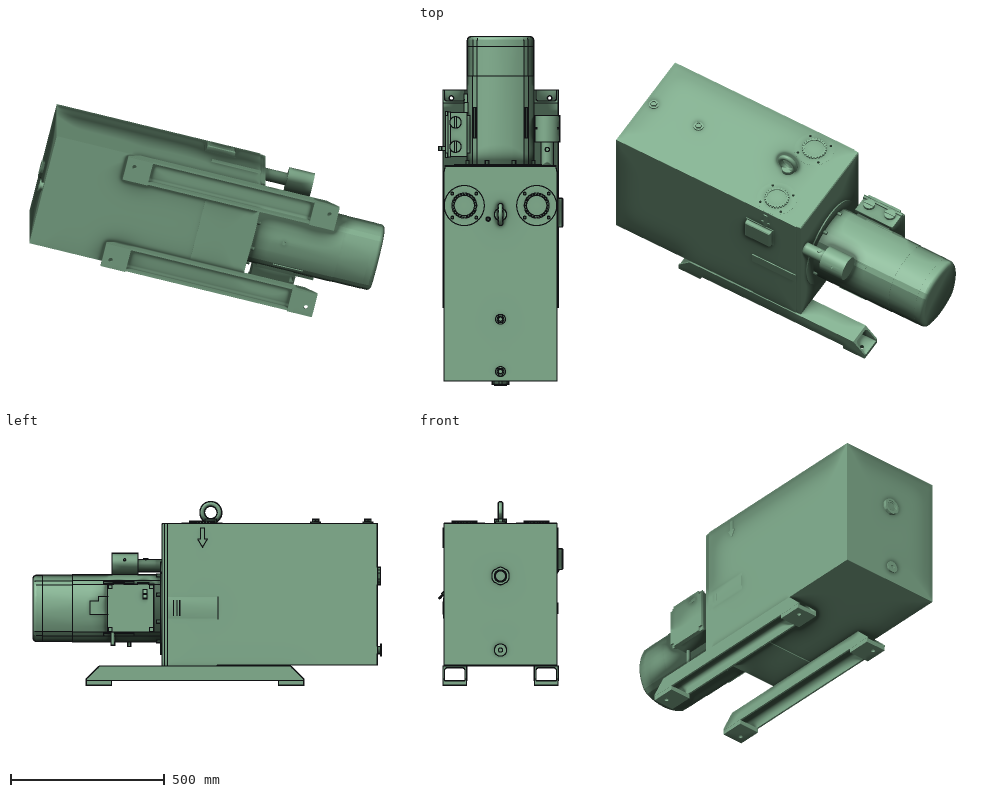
import cadquery as cq
import math


housing_width = 368.0
housing_length = 700.0
housing_bottom = 66.0
housing_top = 526.0
rail_top = 63.0
motor_end = 1119.0
motor_height = 250.0
overall_left = 201.0

housing_side = housing_width / 2
overlap = 2.0


def box(x_range, y_range, z_range):
    """Block between two limits along each axis."""
    size = [limits[1] - limits[0] for limits in (x_range, y_range, z_range)]
    corner = (x_range[0], y_range[0], z_range[0])
    return cq.Workplane("XY").box(*size, centered=False).translate(corner)


def cylinder_y(x, z, y_start, y_stop, diameter):
    """Round bar along Y."""
    plane = cq.Workplane("XZ", origin=(x, y_start, z))
    return plane.circle(diameter / 2).extrude(y_start - y_stop)


def cylinder_z(x, y, z_start, z_stop, diameter):
    """Round bar along Z."""
    plane = cq.Workplane("XY", origin=(x, y, z_start))
    return plane.circle(diameter / 2).extrude(z_stop - z_start)


def hexagon_z(x, y, z_start, z_stop, corner_diameter):
    """Hexagonal bar along Z."""
    plane = cq.Workplane("XY", origin=(x, y, z_start))
    return plane.polygon(6, corner_diameter).extrude(z_stop - z_start)


back_frame_depth = 18.0
back_frame_inset = 2.5
back_plate_depth = 9.0
back_plate_inset = 3.5
back_plate_chamfer = 3.0
rear_foot_depth = 180.0


def make_housing():
    """Block with a narrower frame and end plate at the back, and a low foot over the rails."""
    frame_start = housing_length - back_frame_depth
    plate_start = housing_length - back_plate_depth
    frame_side = housing_side - back_frame_inset
    plate_side = housing_side - back_plate_inset
    main = box((-housing_side, housing_side), (0, frame_start), (housing_bottom, housing_top))
    frame = box((-frame_side, frame_side), (frame_start, plate_start), (rail_top, housing_top))
    plate = box((-plate_side, plate_side), (plate_start, housing_length), (rail_top, housing_top))
    plate = plate.edges(">Y and >Z").chamfer(back_plate_chamfer)
    foot_front = housing_length - rear_foot_depth
    foot = box((-housing_side, housing_side), (foot_front, frame_start), (rail_top, housing_bottom))
    return main.union(frame).union(plate).union(foot)


port_spacing = 235.0
port_y = 570.0
port_flange_diameter = 130.0
port_flange_height = 0.5
port_cap_diameter = 81.0
port_cap_height = 7.0
port_recess_diameter = 66.0
port_recess_depth = 4.0
port_knurl_count = 24
port_knurl_width = 4.0
port_knurl_depth = 4.0
port_bolt_circle = 110.0
port_bolt_hole_diameter = 9.0
port_bolt_hole_depth = 15.0


def make_port(x):
    """Flange disc with a raised cap that is grooved round its rim."""
    cap_top = housing_top + port_cap_height
    flange_top = housing_top + port_flange_height
    port = cylinder_z(x, port_y, housing_top - overlap, flange_top, port_flange_diameter)
    port = port.union(cylinder_z(x, port_y, housing_top, cap_top, port_cap_diameter))
    port = port.cut(cylinder_z(x, port_y, cap_top - port_recess_depth, cap_top, port_recess_diameter))
    grooves = (
        cq.Workplane("XY", origin=(x, port_y, flange_top))
        .polarArray(port_cap_diameter / 2, 0, 360, port_knurl_count)
        .rect(2 * port_knurl_depth, port_knurl_width)
        .extrude(port_cap_height)
    )
    return port.cut(grooves)


def make_port_bolt_holes(x):
    return (
        cq.Workplane("XY", origin=(x, port_y, housing_top - port_bolt_hole_depth))
        .polarArray(port_bolt_circle / 2, 45, 360, 4)
        .circle(port_bolt_hole_diameter / 2)
        .extrude(2 * port_bolt_hole_depth)
    )


eye_y = 541.0
eye_outer_diameter = 72.0
eye_inner_diameter = 40.0
eye_collar_diameter = 40.0
eye_collar_height = 14.0
eye_height = 71.0


def make_lifting_eye():
    wire_radius = (eye_outer_diameter - eye_inner_diameter) / 4
    ring_radius = (eye_outer_diameter + eye_inner_diameter) / 4
    ring_centre = housing_top + eye_height - eye_outer_diameter / 2
    ring = cq.Workplane(
        cq.Solid.makeTorus(ring_radius, wire_radius, cq.Vector(0, eye_y, ring_centre), cq.Vector(1, 0, 0))
    )
    collar_top = housing_top + eye_collar_height
    collar = cylinder_z(0, eye_y, housing_top - overlap, collar_top, eye_collar_diameter)
    opening = (
        cq.Workplane("YZ", origin=(0, eye_y, ring_centre))
        .circle(eye_inner_diameter / 2)
        .extrude(eye_collar_diameter / 2, both=True)
    )
    return collar.cut(opening).union(ring)


top_plug_ys = (31.0, 201.0)
top_plug_flange_diameter = 32.0
top_plug_flange_height = 5.0
top_plug_hex_diameter = 24.0
top_plug_height = 13.5
top_plug_socket_diameter = 14.0
top_plug_socket_depth = 6.0


def make_top_plug(y):
    top = housing_top + top_plug_height
    flange_top = housing_top + top_plug_flange_height
    flange = cylinder_z(0, y, housing_top - overlap, flange_top, top_plug_flange_diameter)
    head = hexagon_z(0, y, housing_top, top, top_plug_hex_diameter)
    socket = cylinder_z(0, y, top - top_plug_socket_depth, top, top_plug_socket_diameter)
    return flange.union(head).cut(socket)


vent_x = -40.0
vent_y = 526.0
vent_diameter = 14.0
vent_pin_diameter = 8.0
vent_depth = 5.0


def make_vent_groove():
    """Ring groove round a small screw that sits flush in the top."""
    bottom = housing_top - vent_depth
    hole = cylinder_z(vent_x, vent_y, bottom, housing_top, vent_diameter)
    return hole.cut(cylinder_z(vent_x, vent_y, bottom, housing_top, vent_pin_diameter))


sight_glass_z = 355.0
sight_glass_flats = 54.0
sight_glass_round = 57.0
sight_glass_depth = 10.5
sight_glass_rim_diameter = 40.0
sight_glass_window_diameter = 33.0
sight_glass_window_depth = 5.0


def make_sight_glass():
    """Hexagonal ring with rounded corners and a recessed window."""
    corner_diameter = sight_glass_flats / math.cos(math.pi / 6)
    hexagon = (
        cq.Workplane("XZ", origin=(0, overlap, sight_glass_z))
        .transformed(rotate=(0, 0, 90))
        .polygon(6, corner_diameter)
        .extrude(sight_glass_depth + overlap)
    )
    hexagon = hexagon.intersect(
        cylinder_y(0, sight_glass_z, -sight_glass_depth, overlap, sight_glass_round)
    )
    window_y = -sight_glass_depth + sight_glass_window_depth
    rim_y = (window_y - sight_glass_depth) / 2
    rim = cylinder_y(0, sight_glass_z, -sight_glass_depth, rim_y, sight_glass_rim_diameter)
    window = cylinder_y(0, sight_glass_z, -sight_glass_depth, window_y, sight_glass_window_diameter)
    return hexagon.cut(rim).cut(window)


drain_z = 114.5
drain_disc_diameter = 40.0
drain_disc_thickness = 4.0
drain_neck_diameter = 24.0
drain_depth = 13.65
drain_socket_diameter = 14.0
drain_socket_depth = 4.0


def make_drain_plug():
    disc_back = drain_disc_thickness - drain_depth
    neck = cylinder_y(0, drain_z, disc_back, overlap, drain_neck_diameter)
    disc = cylinder_y(0, drain_z, -drain_depth, disc_back, drain_disc_diameter)
    socket_end = drain_socket_depth - drain_depth
    socket = cylinder_y(0, drain_z, -drain_depth, socket_end, drain_socket_diameter)
    return neck.union(disc).cut(socket)


side_plate_thickness = 3.0
arrow_y = 568.0
arrow_top = 511.0
arrow_shaft_width = 14.0
arrow_head_width = 31.0
arrow_shaft_length = 36.0
arrow_length = 63.0


def make_arrow(side):
    """Raised arrow that points down, on the side given by -1 or +1."""
    half_shaft = arrow_shaft_width / 2
    half_head = arrow_head_width / 2
    shaft_bottom = arrow_top - arrow_shaft_length
    inner_x = housing_side - overlap
    return (
        cq.Workplane("YZ", origin=(side * inner_x, arrow_y, 0))
        .moveTo(-half_shaft, arrow_top)
        .lineTo(half_shaft, arrow_top)
        .lineTo(half_shaft, shaft_bottom)
        .lineTo(half_head, shaft_bottom)
        .lineTo(0, arrow_top - arrow_length)
        .lineTo(-half_head, shaft_bottom)
        .lineTo(-half_shaft, shaft_bottom)
        .close()
        .extrude(side * (side_plate_thickness + overlap))
    )


label_height = 70.0
label_bottom = 216.0
label_start = 518.0
label_stop = housing_length - back_frame_depth
label_slot_y = 651.0
label_slot_width = 11.0
label_line_y = 641.0
label_line_width = 2.0
label_slot_depth = 1.5


def make_label():
    """Bulged name plate on the left side, crossed by two upright slots."""
    middle = label_bottom + label_height / 2
    top = label_bottom + label_height
    face_x = -housing_side - side_plate_thickness
    inner_x = -housing_side + overlap
    plate = (
        cq.Workplane("XZ", origin=(0, label_start, 0))
        .moveTo(inner_x, label_bottom)
        .lineTo(-housing_side, label_bottom)
        .threePointArc((face_x, middle), (-housing_side, top))
        .lineTo(inner_x, top)
        .close()
        .extrude(label_start - label_stop)
    )
    slots = ((label_slot_y, label_slot_width), (label_line_y, label_line_width))
    for y, width in slots:
        slot = box((face_x, face_x + label_slot_depth), (y, y + width), (label_bottom, top))
        plate = plate.cut(slot)
    return plate


display_start = 500.0
display_stop = 594.0
display_bottom = 376.0
display_top = 444.0
display_right = 202.6
display_rim = 3.0
display_base_margin = 5.0
display_base_thickness = 2.5


def make_display():
    """Operating panel on the right side, on a thin base plate."""
    inner_x = housing_side - overlap
    base = box(
        (inner_x, housing_side + display_base_thickness),
        (display_start - display_base_margin, display_stop + display_base_margin),
        (display_bottom - display_base_margin, display_top + display_base_margin),
    )
    panel = box((inner_x, display_right), (display_start, display_stop), (display_bottom, display_top))
    return base.union(panel.faces(">X").chamfer(display_rim))


right_plate_bottom = 233.0
right_plate_top = 268.0


def make_right_plate():
    """Small plain plate on the right side."""
    return box(
        (housing_side - overlap, housing_side + side_plate_thickness),
        (label_start, label_stop),
        (right_plate_bottom, right_plate_top),
    )


motor_reach = 109.5
motor_corner_long = 90.5
motor_corner_short = 77.0
fan_cover_start = 990.0
fan_cover_inset = 1.0
fan_cap_start = 1087.0
fan_cap_inset = 1.5
fan_cover_round = 13.0
motor_flange_diameter = 300.0
motor_flange_thickness = 4.0
motor_bolt_count = 8
motor_bolt_circle = 229.0
motor_bolt_diameter = 12.2
motor_bolt_length = 17.0
lift_pad_start = 790.0
lift_pad_stop = 889.0
lift_pad_width = 10.0
lift_pad_height = 3.0


def motor_section(y, inset):
    """Four bulged sides joined by flat corners."""
    reach = motor_reach - inset
    long = motor_corner_long - inset
    short = motor_corner_short - inset
    return (
        cq.Workplane("XZ", origin=(0, y, motor_height))
        .moveTo(-short, long)
        .threePointArc((0, reach), (short, long))
        .lineTo(long, short)
        .threePointArc((reach, 0), (long, -short))
        .lineTo(short, -long)
        .threePointArc((0, -reach), (-short, -long))
        .lineTo(-long, -short)
        .threePointArc((-reach, 0), (-long, short))
        .close()
    )


def make_motor():
    body = motor_section(housing_length - overlap, 0).extrude(housing_length - overlap - fan_cover_start)
    cover = motor_section(fan_cover_start, fan_cover_inset).extrude(fan_cover_start - fan_cap_start)
    cap = motor_section(fan_cap_start, fan_cap_inset).extrude(fan_cap_start - motor_end)
    motor = body.union(cover).union(cap.faces(">Y").edges().fillet(fan_cover_round))

    flange_end = housing_length + motor_flange_thickness
    motor = motor.union(
        cylinder_y(0, motor_height, housing_length - overlap, flange_end, motor_flange_diameter)
    )
    bolts = (
        cq.Workplane("XZ", origin=(0, housing_length, motor_height))
        .polarArray(motor_bolt_circle / 2, 180 / motor_bolt_count, 360, motor_bolt_count)
        .circle(motor_bolt_diameter / 2)
        .extrude(-motor_bolt_length)
    )
    motor = motor.union(bolts)

    corner_radius = (motor_corner_long + motor_corner_short) / math.sqrt(2)
    pad = box(
        (corner_radius - overlap, corner_radius + lift_pad_height),
        (lift_pad_start, lift_pad_stop),
        (-lift_pad_width / 2, lift_pad_width / 2),
    )
    for angle in (45, 135, 225, 315):
        turned = pad.rotate((0, 0, 0), (0, 1, 0), angle)
        motor = motor.union(turned.translate((0, 0, motor_height)))
    return motor


motor_drain_y = 806.0
motor_drain_diameter = 10.0
motor_drain_bottom = 126.0


def make_motor_drain():
    return cylinder_z(0, motor_drain_y, motor_drain_bottom, motor_height, motor_drain_diameter)


lid_left = -179.0
lid_right = -162.0
lid_start = 726.0
lid_stop = 876.0
lid_bottom = 173.0
lid_top = 328.5
lid_seam = -170.0
lid_seam_inset = 2.0
lid_notch = 14.0
lid_notch_depth = 7.0
box_margin = 7.0
box_end_margin = 4.0
box_neck_margin = 12.0
box_right = -108.0
box_neck_start = 741.0
box_neck_stop = 862.0
box_neck_right = -90.0
plug_x = -146.0
plug_ys = (761.0, 840.0)
plug_diameter = 37.0
plug_height = 10.0
plug_grip_width = 7.0
plug_grip_rise = 3.0
gland_x = -118.0
gland_y = 859.0
gland_diameter = 13.0
gland_bottom = 130.0
strap_start = 748.0
strap_width = 14.0
strap_thickness = 5.0
strap_length = 40.0
strap_tips = ((-overall_left, 280.0), (-192.0, 294.0))
tab_right = -100.0
tab_left = -118.5
tab_bottom = 230.0
tab_step = 274.0
tab_top = 288.0
tab_step_y = 905.0
tab_stop = 933.0


def make_terminal_box():
    """Box on the left of the motor: notched lid, body, and a narrower neck into the motor."""
    terminal = box((lid_left, lid_seam), (lid_start, lid_stop), (lid_bottom, lid_top))
    flange = box(
        (lid_seam, lid_right),
        (lid_start + lid_seam_inset, lid_stop - lid_seam_inset),
        (lid_bottom + lid_seam_inset, lid_top - lid_seam_inset),
    )
    terminal = terminal.union(flange)
    for y in (lid_start, lid_stop):
        for z in (lid_bottom, lid_top):
            notch = box(
                (lid_left, lid_left + lid_notch_depth),
                (y - lid_notch, y + lid_notch),
                (z - lid_notch, z + lid_notch),
            )
            terminal = terminal.cut(notch)
    body_bottom = lid_bottom + box_margin
    body_top = lid_top - box_margin
    body = box(
        (lid_right, box_right),
        (lid_start + box_end_margin, lid_stop - box_end_margin),
        (body_bottom, body_top),
    )
    neck = box(
        (box_right, box_neck_right),
        (box_neck_start, box_neck_stop),
        (body_bottom + box_neck_margin, body_top - box_neck_margin),
    )
    terminal = terminal.union(body).union(neck)

    plug_top = body_top + plug_height
    for y in plug_ys:
        plug = cylinder_z(plug_x, y, body_top - overlap, plug_top, plug_diameter)
        grip = box(
            (plug_x - plug_grip_width / 2, plug_x + plug_grip_width / 2),
            (y - plug_diameter / 2, y + plug_diameter / 2),
            (body_top, plug_top + plug_grip_rise),
        )
        terminal = terminal.union(plug).union(grip)
    gland = cylinder_z(gland_x, gland_y, gland_bottom, body_bottom + overlap, gland_diameter)
    return terminal.union(gland)


def make_strap(tip_left, tip_z):
    """Flat strap that slopes down and outwards from the lid at 45 degrees."""
    strap = box((0, strap_length), (0, strap_width), (0, strap_thickness))
    strap = strap.rotate((0, 0, 0), (0, 1, 0), -45)
    tip_x = tip_left + strap_thickness / math.sqrt(2)
    return strap.translate((tip_x, strap_start, tip_z))


def make_side_tab():
    """Stepped plate on the left of the motor, behind the terminal box."""
    return (
        cq.Workplane("YZ", origin=(tab_left, 0, 0))
        .moveTo(lid_stop - box_end_margin - overlap, tab_bottom)
        .lineTo(tab_stop, tab_bottom)
        .lineTo(tab_stop, tab_step)
        .lineTo(tab_step_y, tab_step)
        .lineTo(tab_step_y, tab_top)
        .lineTo(lid_stop - box_end_margin - overlap, tab_top)
        .close()
        .extrude(tab_right - tab_left)
    )


filter_x = 152.0
filter_z = 388.5
filter_diameter = 81.0
filter_start = 777.0
filter_stop = 862.0
filter_hole_y = 821.0
filter_hole_rise = 19.0
filter_hole_diameter = 6.0
pipe_diameter = 40.9
pipe_screw_y = 752.0
pipe_screw_diameter = 14.0
pipe_screw_rise = 3.0


def make_intake_filter():
    pipe = cylinder_y(filter_x, filter_z, housing_length - overlap, filter_start + overlap, pipe_diameter)
    canister = cylinder_y(filter_x, filter_z, filter_start, filter_stop, filter_diameter)
    cross_hole = (
        cq.Workplane("YZ", origin=(filter_x, filter_hole_y, filter_z + filter_hole_rise))
        .circle(filter_hole_diameter / 2)
        .extrude(filter_diameter, both=True)
    )
    canister = canister.cut(cross_hole)
    screw_top = filter_z + pipe_diameter / 2 + pipe_screw_rise
    screw = cylinder_z(filter_x, pipe_screw_y, filter_z, screw_top, pipe_screw_diameter)
    return pipe.union(canister).union(screw)


rail_outer_side = 187.5
rail_width = 78.0
rail_front = 239.0
rail_back = 946.0
rail_wall = 6.0
rail_inner_radius = 9.0
rail_end_top = 21.0
rail_slope_run = 43.0
pad_length = 83.0
pad_inset = 0.5
pad_height = 15.0
pad_hole_x = 159.5
pad_hole_end_distance = 27.0
pad_hole_diameter = 14.0


def make_rail(side):
    """Channel open downwards with sloping ends on two drilled foot pads; side is -1 or +1."""
    rail_middle = side * (rail_outer_side - rail_width / 2)
    x_range = (rail_middle - rail_width / 2, rail_middle + rail_width / 2)
    slope_front = rail_front + rail_slope_run
    slope_back = rail_back - rail_slope_run
    channel = (
        cq.Workplane("YZ", origin=(x_range[0], 0, 0))
        .moveTo(rail_front, pad_height)
        .lineTo(rail_front, rail_end_top)
        .lineTo(slope_front, rail_top)
        .lineTo(slope_back, rail_top)
        .lineTo(rail_back, rail_end_top)
        .lineTo(rail_back, pad_height)
        .close()
        .extrude(rail_width)
    )
    hollow = box(
        (x_range[0] + rail_wall, x_range[1] - rail_wall),
        (rail_front, rail_back),
        (0, rail_top - rail_wall),
    )
    rail = channel.cut(hollow.edges("|Y and >Z").fillet(rail_inner_radius))
    pad_x_range = (x_range[0] + pad_inset, x_range[1] - pad_inset)
    for y_range in ((rail_front, rail_front + pad_length), (rail_back - pad_length, rail_back)):
        rail = rail.union(box(pad_x_range, y_range, (0, pad_height)))
    for y in (rail_front + pad_hole_end_distance, rail_back - pad_hole_end_distance):
        rail = rail.cut(cylinder_z(side * pad_hole_x, y, 0, pad_height, pad_hole_diameter))
    return rail


port_xs = (-port_spacing / 2, port_spacing / 2)
pump = make_housing()
attached = [make_port(x) for x in port_xs]
attached += [make_top_plug(y) for y in top_plug_ys]
attached += [make_arrow(side) for side in (-1, 1)]
attached += [make_strap(*tip) for tip in strap_tips]
attached += [
    make_lifting_eye(),
    make_sight_glass(),
    make_drain_plug(),
    make_label(),
    make_display(),
    make_right_plate(),
    make_motor(),
    make_motor_drain(),
    make_terminal_box(),
    make_side_tab(),
    make_intake_filter(),
]
for feature in attached:
    pump = pump.union(feature)
for x in port_xs:
    pump = pump.cut(make_port_bolt_holes(x))
pump = pump.cut(make_vent_groove())

rails = [make_rail(side) for side in (-1, 1)]

result = cq.Compound.makeCompound([pump.val(), *[rail.val() for rail in rails]])